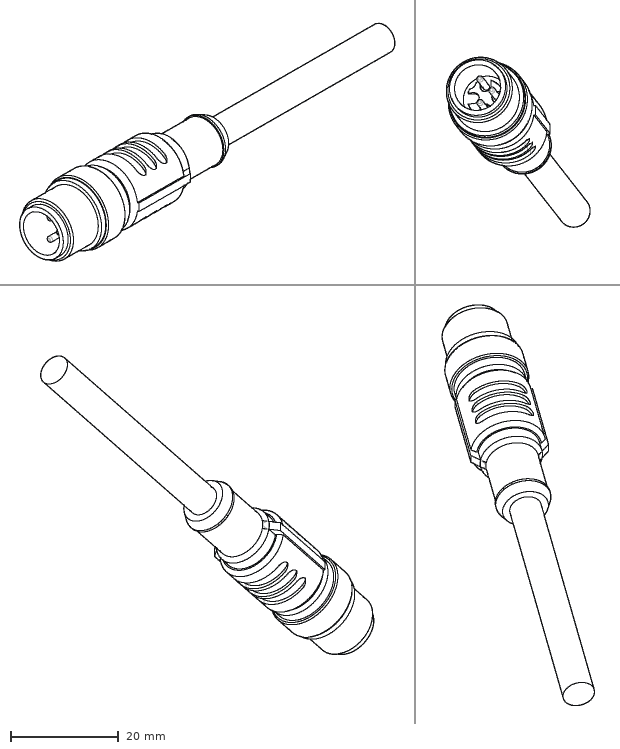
import cadquery as cq
import math

total_length = 98.9

tip_diameter = 10.6
tip_end = 1.4
barrel_diameter = 12.5
barrel_chamfer = 0.4
barrel_end = 9.0
bore_diameter = 8.7
bore_depth = 9.0

insert_diameter = 6.9
insert_height = 1.0
notch_width = 2.1
notch_angles = (-90, 0, 90, 180)
coding_groove_diameter = 2.6
coding_groove_angle = 135

pin_diameter = 1.2
pin_tip_radius = 0.3
pin_circle_radius = 2.25
pin_setback = 2.2
pin_angles = (-90, 0, 90)

flange_diameter = 14.1
flange_end = 10.2
nut_diameter = 14.98
nut_end = 15.6
nut_chamfer = 0.3
collar_diameter = 13.5
collar_end = 17.5
collar_rear_diameter = 12.4
collar_rear_end = 18.3
neck_diameter = 9.6

grip_diameter = 14.2
grip_start = 19.4
grip_end = 32.9
grip_taper_end = 33.7
grip_taper_diameter = 12.4
shoulder_diameter = 11.8
shoulder_end = 35.9
shoulder_taper_end = 36.7
sleeve_diameter = 10.0
sleeve_end = 46.6
ring_diameter = 10.5
ring_end = 47.1
boot_end = 49.1
boot_end_diameter = 8.7
cable_diameter = 6.0

fin_width = 1.8
fin_span = 14.75

slot_width = 2.2
slot_length = 11.0
slot_depth = 0.65
slot_pitch = 3.0
slot_count = 3
first_slot_y = 23.4


def cylinder(diameter, start, end):
    """Solid cylinder on the Y axis between two Y positions."""
    return cq.Workplane("XZ", origin=(0, start, 0)).circle(diameter / 2).extrude(start - end)


def polar_offset(radius, angle):
    """Offset from the axis to a point at an angle measured from +X toward +Z."""
    return (radius * math.cos(math.radians(angle)), 0, radius * math.sin(math.radians(angle)))


def make_body():
    """Revolved outer shape of the connector and cable."""
    stations = [
        (tip_diameter, 0),
        (tip_diameter, tip_end),
        (barrel_diameter - 2 * barrel_chamfer, tip_end),
        (barrel_diameter, tip_end + barrel_chamfer),
        (barrel_diameter, barrel_end),
        (flange_diameter, barrel_end),
        (flange_diameter, flange_end),
        (nut_diameter - 2 * nut_chamfer, flange_end),
        (nut_diameter, flange_end + nut_chamfer),
        (nut_diameter, nut_end - nut_chamfer),
        (nut_diameter - 2 * nut_chamfer, nut_end),
        (collar_diameter, nut_end),
        (collar_diameter, collar_end),
        (collar_rear_diameter, collar_rear_end),
        (neck_diameter, collar_rear_end),
        (neck_diameter, grip_start),
        (grip_diameter, grip_start),
        (grip_diameter, grip_end),
        (grip_taper_diameter, grip_taper_end),
        (shoulder_diameter, grip_taper_end),
        (shoulder_diameter, shoulder_end),
        (sleeve_diameter, shoulder_taper_end),
        (sleeve_diameter, sleeve_end),
        (ring_diameter, sleeve_end),
        (ring_diameter, ring_end),
        (boot_end_diameter, boot_end),
        (cable_diameter, boot_end),
        (cable_diameter, total_length),
    ]
    outline = [(diameter / 2, y) for diameter, y in stations]
    profile = cq.Workplane("XY").polyline([(0, 0)] + outline + [(0, total_length)]).close()
    return profile.revolve(360, (0, 0, 0), (0, 1, 0))


def make_fins():
    """Flat bar across the grip that stands out as a fin on each side."""
    half_span = fin_span / 2
    half_sleeve = sleeve_diameter / 2
    slope_start = shoulder_taper_end - (half_span - half_sleeve)
    outline = [
        (-half_span, grip_start),
        (half_span, grip_start),
        (half_span, slope_start),
        (half_sleeve, shoulder_taper_end),
        (-half_sleeve, shoulder_taper_end),
        (-half_span, slope_start),
    ]
    return cq.Workplane("XY").polyline(outline).close().extrude(fin_width / 2, both=True)


def make_slots():
    """Round-ended finger slots whose floors follow the round of the grip."""
    centres = [(0, first_slot_y + i * slot_pitch) for i in range(slot_count)]
    slots = cq.Workplane("XY").pushPoints(centres).slot2D(slot_length, slot_width)
    slots = slots.extrude(grip_diameter, both=True)
    return slots.cut(cylinder(grip_diameter - 2 * slot_depth, grip_start, grip_end))


def make_insert():
    """Round contact insert, notched inward from its rim at each contact place."""
    insert = cylinder(insert_diameter, bore_depth - insert_height, bore_depth)
    notch = (
        cq.Workplane("XZ", origin=(0, bore_depth, 0))
        .center(pin_circle_radius + insert_diameter / 2, 0)
        .slot2D(insert_diameter + notch_width, notch_width)
        .extrude(insert_height)
    )
    for angle in notch_angles:
        insert = insert.cut(notch.rotate((0, 0, 0), (0, 1, 0), -angle))
    groove = cylinder(coding_groove_diameter, bore_depth - insert_height, bore_depth)
    return insert.cut(groove.translate(polar_offset(bore_diameter / 2, coding_groove_angle)))


def make_pin(angle):
    """Contact pin with a rounded tip, standing on the bore floor."""
    pin = cylinder(pin_diameter, pin_setback, bore_depth).faces("<Y").edges().fillet(pin_tip_radius)
    return pin.translate(polar_offset(pin_circle_radius, angle))


result = make_body().union(make_fins()).cut(make_slots())
result = result.cut(cylinder(bore_diameter, 0, bore_depth)).union(make_insert())
for pin_angle in pin_angles:
    result = result.union(make_pin(pin_angle))